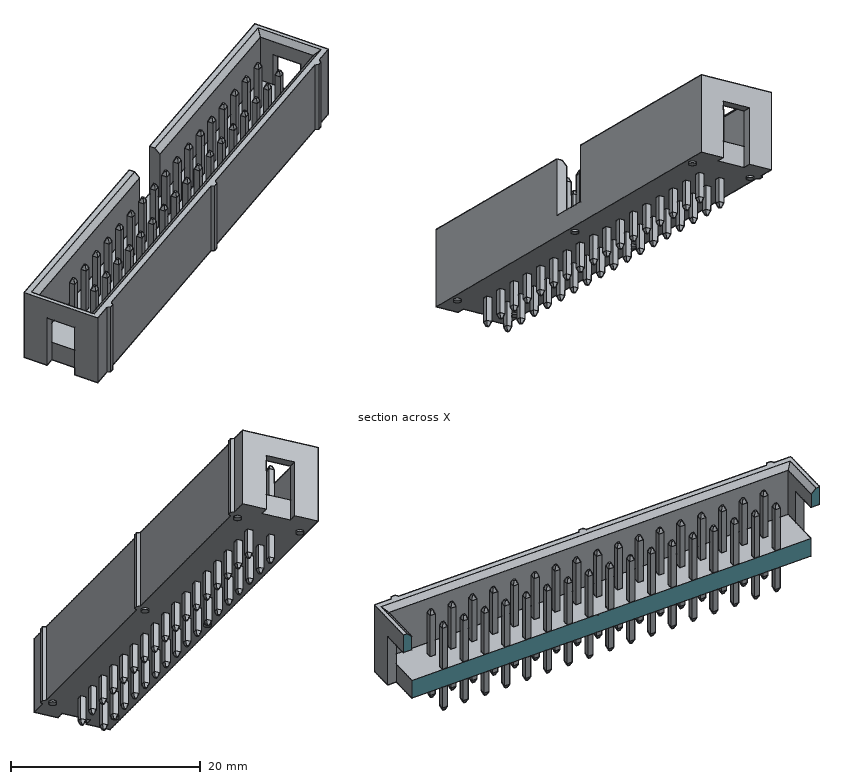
import cadquery as cq


PITCH = 2.54
PIN_ROWS = 2
PINS_PER_ROW = 17
PIN_WIDTH = 0.64
PIN_TIP_WIDTH = 0.25
PIN_TIP_LENGTH = 0.5
PIN_TOP_BELOW_RIM = 0.5

OVERALL_WIDTH = 9.18
OVERALL_HEIGHT = 12.1
HOUSING_LENGTH = 50.84

RIB_DEPTH = 0.33
RIB_BASE_WIDTH = 0.95
RIB_TIP_WIDTH = 0.5
RIB_END_DISTANCE = 2.5

STANDOFF_DIAMETER = 0.85
STANDOFF_END_DISTANCE = 2.9
STANDOFF_SIDE_DISTANCE = 0.78
STANDOFF_HEIGHT = 0.2

HOUSING_WIDTH = OVERALL_WIDTH - RIB_DEPTH
HOUSING_HEIGHT = 8.85
FLOOR_THICKNESS = 2.4
SIDE_WALL = 1.25
END_WALL = 1.05
RIM_CHAMFER = 0.6
KEY_WIDTH = 4.45
END_SLOT_WIDTH = 3.3
END_SLOT_TOP = 6.45

HALF_WIDTH = HOUSING_WIDTH / 2
HALF_LENGTH = HOUSING_LENGTH / 2
CAVITY_WIDTH = HOUSING_WIDTH - 2 * SIDE_WALL
CAVITY_LENGTH = HOUSING_LENGTH - 2 * END_WALL
CAVITY_DEPTH = HOUSING_HEIGHT - FLOOR_THICKNESS
PIN_TOP = HOUSING_HEIGHT - PIN_TOP_BELOW_RIM
PIN_BOTTOM = HOUSING_HEIGHT - OVERALL_HEIGHT


def block(width, length, height, x=0, y=0, z=0):
    """Box centred on (x, y) that rises from z."""
    return cq.Workplane("XY").box(width, length, height, centered=(True, True, False)).translate((x, y, z))


def make_cavity():
    """Open tray with a 45 degree lead-in around the rim."""
    lead_in = (
        cq.Workplane("XY")
        .workplane(offset=HOUSING_HEIGHT - RIM_CHAMFER)
        .rect(CAVITY_WIDTH, CAVITY_LENGTH)
        .workplane(offset=RIM_CHAMFER)
        .rect(CAVITY_WIDTH + 2 * RIM_CHAMFER, CAVITY_LENGTH + 2 * RIM_CHAMFER)
        .loft(ruled=True)
    )
    return block(CAVITY_WIDTH, CAVITY_LENGTH, CAVITY_DEPTH, z=FLOOR_THICKNESS).union(lead_in)


def make_key_slot():
    """Polarising slot through the -X wall, down to the floor."""
    return block(HALF_WIDTH, KEY_WIDTH, CAVITY_DEPTH, x=-HALF_WIDTH / 2, z=FLOOR_THICKNESS)


def make_end_slot(side):
    """Slot through one end wall, open at the underside."""
    return block(END_SLOT_WIDTH, END_WALL, END_SLOT_TOP, y=side * (HALF_LENGTH - END_WALL / 2))


def make_rib(y):
    """Full-height rib on the +X wall, narrowing from its base to a flat tip."""
    tip_x = HALF_WIDTH + RIB_DEPTH
    outline = [
        (0, y - RIB_BASE_WIDTH / 2),
        (HALF_WIDTH, y - RIB_BASE_WIDTH / 2),
        (tip_x, y - RIB_TIP_WIDTH / 2),
        (tip_x, y + RIB_TIP_WIDTH / 2),
        (HALF_WIDTH, y + RIB_BASE_WIDTH / 2),
        (0, y + RIB_BASE_WIDTH / 2),
    ]
    return cq.Workplane("XY").polyline(outline).close().extrude(HOUSING_HEIGHT)


def make_standoffs():
    """Round feet under the housing, along both long sides."""
    foot_x = HALF_WIDTH - STANDOFF_SIDE_DISTANCE
    foot_y = HALF_LENGTH - STANDOFF_END_DISTANCE
    places = [(x, y) for x in (-foot_x, foot_x) for y in (-foot_y, 0, foot_y)]
    return cq.Workplane("XY").pushPoints(places).circle(STANDOFF_DIAMETER / 2).extrude(-STANDOFF_HEIGHT)


def make_pin():
    """Square pin with a tapered tip at both ends."""
    shank_bottom = PIN_BOTTOM + PIN_TIP_LENGTH
    shank_top = PIN_TOP - PIN_TIP_LENGTH
    pin = block(PIN_WIDTH, PIN_WIDTH, shank_top - shank_bottom, z=shank_bottom)
    for shoulder, direction in ((shank_top, 1), (shank_bottom, -1)):
        tip = (
            cq.Workplane("XY")
            .workplane(offset=shoulder)
            .rect(PIN_WIDTH, PIN_WIDTH)
            .workplane(offset=direction * PIN_TIP_LENGTH)
            .rect(PIN_TIP_WIDTH, PIN_TIP_WIDTH)
            .loft(ruled=True)
        )
        pin = pin.union(tip)
    return pin


housing = block(HOUSING_WIDTH, HOUSING_LENGTH, HOUSING_HEIGHT)
rib_end_y = HALF_LENGTH - RIB_END_DISTANCE
for rib_y in (-rib_end_y, 0, rib_end_y):
    housing = housing.union(make_rib(rib_y))
housing = housing.union(make_standoffs())
housing = housing.cut(make_cavity()).cut(make_key_slot())
for end in (-1, 1):
    housing = housing.cut(make_end_slot(end))

pin = make_pin()
result = housing
for row in range(PIN_ROWS):
    for column in range(PINS_PER_ROW):
        pin_x = (row - (PIN_ROWS - 1) / 2) * PITCH
        pin_y = (column - (PINS_PER_ROW - 1) / 2) * PITCH
        result = result.union(pin.translate((pin_x, pin_y, 0)))